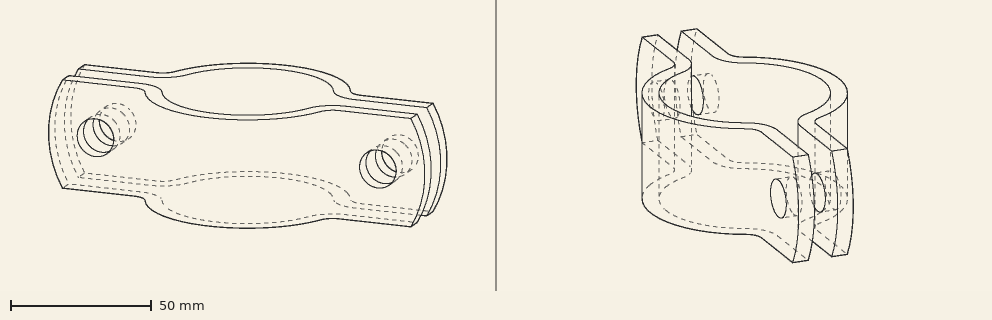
import cadquery as cq
import math

length = 144.0
depth = 73.0
height = 40.0
thickness = 6.0
gap = 9.0

hole_diameter = 14.0
hole_offset = 54.0
end_radius = height

ring_outer = depth / 2
ring_inner = ring_outer - thickness
bend_inner = thickness
bend_outer = bend_inner + thickness
flange_inner_y = gap / 2
flange_outer_y = flange_inner_y + thickness
bend_y = flange_outer_y + bend_inner
bend_x = math.sqrt((ring_outer + bend_inner) ** 2 - bend_y ** 2)
join_angle = math.atan2(bend_y, bend_x)


def ring_point(radius, side):
    """Point where the ring meets the bend on one side (-1 or 1)."""
    return (side * radius * math.cos(join_angle), radius * math.sin(join_angle))


def bend_mid(radius, side):
    """Middle point of a bend arc on one side (-1 or 1)."""
    angle = (-math.pi / 2 + join_angle - math.pi) / 2
    return (side * (bend_x + radius * math.cos(angle)), bend_y + radius * math.sin(angle))


def make_strap():
    """Bent strap profile on the +Y side, extruded along Z."""
    half_length = length / 2
    return (
        cq.Workplane("XY")
        .moveTo(-half_length, flange_inner_y)
        .lineTo(-bend_x, flange_inner_y)
        .threePointArc(bend_mid(bend_outer, -1), ring_point(ring_inner, -1))
        .threePointArc((0, ring_inner), ring_point(ring_inner, 1))
        .threePointArc(bend_mid(bend_outer, 1), (bend_x, flange_inner_y))
        .lineTo(half_length, flange_inner_y)
        .lineTo(half_length, flange_outer_y)
        .lineTo(bend_x, flange_outer_y)
        .threePointArc(bend_mid(bend_inner, 1), ring_point(ring_outer, 1))
        .threePointArc((0, ring_outer), ring_point(ring_outer, -1))
        .threePointArc(bend_mid(bend_inner, -1), (-bend_x, flange_outer_y))
        .lineTo(-half_length, flange_outer_y)
        .close()
        .extrude(height / 2, both=True)
    )


def make_end_envelope():
    """Block with arced ends that rounds off the flanges."""
    half_length = length / 2
    half_height = height / 2
    end_sag = end_radius - math.sqrt(end_radius ** 2 - half_height ** 2)
    corner_x = half_length - end_sag
    return (
        cq.Workplane("XZ")
        .moveTo(-corner_x, -half_height)
        .lineTo(corner_x, -half_height)
        .threePointArc((half_length, 0), (corner_x, half_height))
        .lineTo(-corner_x, half_height)
        .threePointArc((-half_length, 0), (-corner_x, -half_height))
        .close()
        .extrude(depth, both=True)
    )


def make_bolt_holes():
    """Cylinders along Y, one for each flange."""
    return (
        cq.Workplane("XZ")
        .pushPoints([(-hole_offset, 0), (hole_offset, 0)])
        .circle(hole_diameter / 2)
        .extrude(depth, both=True)
    )


def make_clamp_half(turn):
    """One clamp half, turned about Z by the given angle in degrees."""
    half = make_strap().intersect(make_end_envelope()).cut(make_bolt_holes())
    return half.rotate((0, 0, 0), (0, 0, 1), turn)


clamp_halves = [make_clamp_half(turn) for turn in (0, 180)]

result = cq.Compound.makeCompound([half.solids().val() for half in clamp_halves])